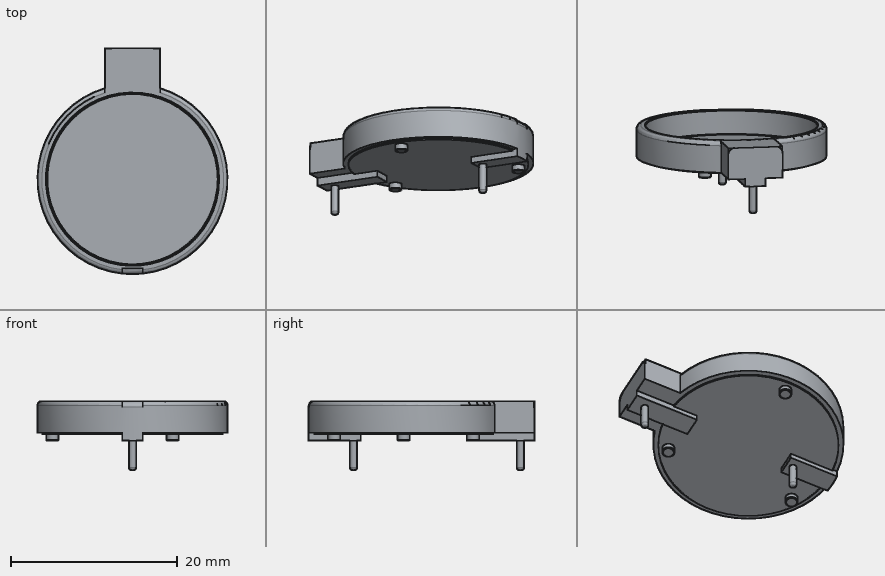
import cadquery as cq
import math

ring_radius = 11.4
ring_height = 3.8
rim_rounding = 0.5
pocket_radius = 10.3
pocket_depth = 3.0
pocket_chamfer = 0.1

base_radius = 10.8
base_thickness = 0.2

block_width = 6.6
block_rear = 15.7
rear_plate_thickness = 0.1
rear_plate_corner = 0.75

foot_width = 2.5
foot_bottom = -4.75
front_foot_length = 6.3
rear_foot_length = 8.1
pin_diameter = 0.9
pin_tip = -8.3
pin_tip_rounding = 0.35
pin_positions = [-6.0, 14.0]
peg_diameter = 1.5
peg_chamfer = 0.1
peg_circle_radius = 9.6
peg_angles = [60, 180, 300]

notch_width = foot_width
notch_height = 0.7
notch_depth = 0.7
notch_step = 0.05


def box_between(width, y_front, y_rear, z_bottom, z_top):
    """Box centred on X = 0."""
    return (
        cq.Workplane("XY", origin=(0, 0, z_bottom))
        .center(0, (y_front + y_rear) / 2)
        .rect(width, y_rear - y_front)
        .extrude(z_top - z_bottom)
    )


def upright_cylinder(radius, z_bottom, z_top, x=0, y=0):
    return cq.Workplane("XY", origin=(x, y, z_bottom)).circle(radius).extrude(z_top - z_bottom)


def make_ring():
    ring = upright_cylinder(ring_radius, -ring_height, 0).faces(">Z").edges().fillet(rim_rounding)
    base = upright_cylinder(base_radius, -ring_height - base_thickness, -ring_height)
    return ring.union(base)


def make_pocket():
    """Cutter that narrows at the floor and widens at the mouth."""
    floor_radius = pocket_radius - pocket_chamfer
    mouth_radius = pocket_radius + pocket_chamfer
    return (
        cq.Workplane("XZ")
        .moveTo(0, -pocket_depth)
        .lineTo(floor_radius, -pocket_depth)
        .lineTo(pocket_radius, pocket_chamfer - pocket_depth)
        .lineTo(pocket_radius, -pocket_chamfer)
        .lineTo(mouth_radius, 0)
        .lineTo(0, 0)
        .close()
        .revolve()
    )


def make_block():
    """Block with a thin rear plate whose two top corners are rounded."""
    plate_front = block_rear - rear_plate_thickness
    block = box_between(block_width, 0, plate_front, -ring_height, 0)
    plate = box_between(block_width, plate_front, block_rear, -ring_height, 0)
    plate = plate.edges("|Y and >Z").fillet(rear_plate_corner)
    return block.union(plate)


def make_feet():
    front = box_between(foot_width, -ring_radius, front_foot_length - ring_radius, foot_bottom, -ring_height)
    front = front.intersect(upright_cylinder(ring_radius, foot_bottom, -ring_height))
    rear = box_between(foot_width, block_rear - rear_foot_length, block_rear, foot_bottom, -ring_height)
    return front.union(rear)


def make_pin(y):
    pin = upright_cylinder(pin_diameter / 2, pin_tip, foot_bottom, y=y)
    return pin.faces("<Z").edges().fillet(pin_tip_rounding)


def make_peg(angle):
    x = peg_circle_radius * math.cos(math.radians(angle))
    y = peg_circle_radius * math.sin(math.radians(angle))
    peg = upright_cylinder(peg_diameter / 2, foot_bottom, -ring_height, x, y)
    return peg.faces("<Z").edges().chamfer(peg_chamfer)


def make_notch():
    """Cutter that lowers a short stretch of the rim and gives it a larger rounding."""
    lowered_rim = upright_cylinder(ring_radius, -ring_height, -notch_step)
    lowered_rim = lowered_rim.faces(">Z").edges().fillet(notch_height - notch_step)
    cutter = box_between(notch_width, -ring_radius, notch_depth - ring_radius, -notch_height, 0)
    return cutter.cut(lowered_rim)


result = make_ring().union(make_block()).cut(make_pocket()).cut(make_notch()).union(make_feet())
for pin_y in pin_positions:
    result = result.union(make_pin(pin_y))
for peg_angle in peg_angles:
    result = result.union(make_peg(peg_angle))